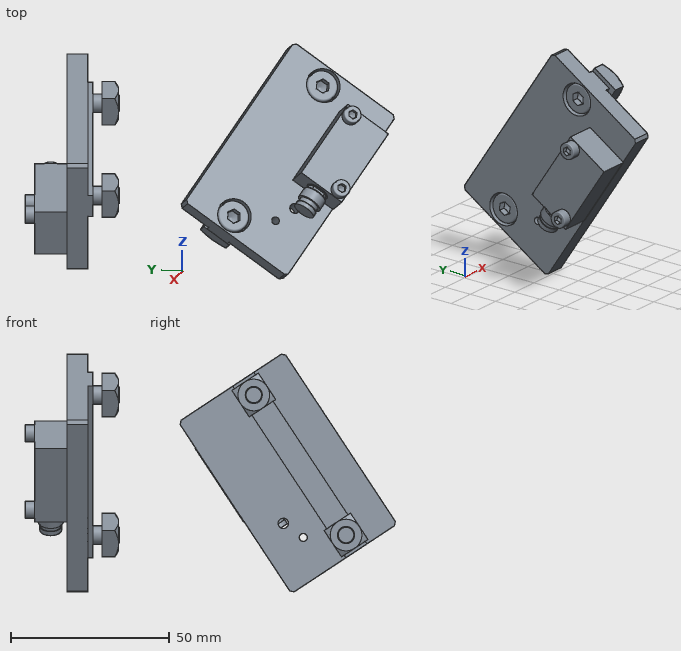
import cadquery as cq
import math

TILT = 33.38

PLATE_LENGTH = 65.0
PLATE_WIDTH = 40.0
PLATE_THICKNESS = 6.6
PLATE_CHAMFER = 1.0
KEY_WIDTH = 8.0
KEY_HEIGHT = 1.6
KEY_Y = 4.6

SOCKET_CONE_ANGLE = 30.0

CLAMP_SCREW_PITCH = 53.0
CLAMP_DIAMETER = 6.0
CLAMP_LENGTH = 12.0
CLAMP_END_CHAMFER = 0.55
CLAMP_HEAD_DIAMETER = 10.0
CLAMP_HEAD_HEIGHT = 4.0
CLAMP_HEAD_FILLET = 0.6
CLAMP_HEAD_RECESS = 0.6
CLAMP_KEY_SIZE = 4.0
CLAMP_SOCKET_DEPTH = 2.3
COUNTERBORE_DIAMETER = 11.0
NUT_SIDE = 10.0
NUT_THICKNESS = 5.3
NUT_CHAMFER_ANGLE = 30.0
SCREW_PROTRUSION = 0.25

TAPPED_HOLE_DIAMETER = 2.46
TAPPED_HOLE_Z = -19.7
CLEAR_HOLE_DIAMETER = 3.24
CLEAR_HOLE_Y = -9.94
CLEAR_HOLE_Z = -12.5

BLOCK_LENGTH = 27.8
BLOCK_WIDTH = 15.9
BLOCK_DEPTH = 10.2
BLOCK_BOTTOM = -5.25
BLOCK_OVERHANG = 0.2
CAP_INSET = 2.8
CAP_HEAD_DIAMETER = 5.5
CAP_HEAD_HEIGHT = 3.0
CAP_HEAD_FILLET = 0.3
CAP_KEY_SIZE = 2.5
CAP_SOCKET_DEPTH = 1.3
BUTTON_DIAMETER = 7.0
BUTTON_DEPTH = 1.0
BUTTON_Z = 14.9

FLANGE_DIAMETER = 7.5
FLANGE_LENGTH = 0.25
NECK_DIAMETER = 6.5
NECK_END = 1.35
NECK_FLAT_WIDTH = 4.0
BARREL_DIAMETER = 8.0
BARREL_CHAMFER = 0.3
BARREL_END = 4.95
TIP_DIAMETER = 7.0
TIP_START = 6.5
CONNECTOR_LENGTH = 8.05
CONNECTOR_Y = -12.35

PLATE_EDGE = -PLATE_WIDTH / 2
KEY_FACE = PLATE_THICKNESS + KEY_HEIGHT
BLOCK_OUTER_SIDE = PLATE_EDGE - BLOCK_OVERHANG
BLOCK_INNER_SIDE = BLOCK_OUTER_SIDE + BLOCK_WIDTH
BLOCK_TOP = BLOCK_BOTTOM + BLOCK_LENGTH
CAP_CENTRES = [
    (BLOCK_INNER_SIDE - CAP_INSET, BLOCK_TOP - CAP_INSET),
    (BLOCK_OUTER_SIDE + CAP_INSET, BLOCK_BOTTOM + CAP_INSET),
]
CLAMP_CENTRES = [(KEY_Y, side * CLAMP_SCREW_PITCH / 2) for side in (1, -1)]
CLAMP_HEAD_SEAT = CLAMP_HEAD_RECESS + CLAMP_HEAD_HEIGHT
CLAMP_END = CLAMP_HEAD_SEAT + CLAMP_LENGTH


def box_between(x_range, y_range, z_range):
    """Box spanning the given (low, high) ranges."""
    low, high = zip(x_range, y_range, z_range)
    size = [b - a for a, b in zip(low, high)]
    return cq.Workplane("XY").box(*size, centered=False).translate(low)


def cylinder_along_x(x_start, x_end, diameter, centre=(0, 0)):
    """Cylinder parallel to X at the (Y, Z) centre."""
    return cq.Workplane("YZ", origin=(x_start, *centre)).circle(diameter / 2).extrude(x_end - x_start)


def hex_socket(key_size, depth):
    """Hexagonal recess opening at X = 0 with a conical drill-point bottom."""
    corner_radius = key_size / math.sqrt(3)
    tip = depth + corner_radius * math.tan(math.radians(SOCKET_CONE_ANGLE))
    hexagon = cq.Workplane("YZ").polygon(6, 2 * corner_radius).extrude(tip)
    drilling = (
        cq.Workplane("XY")
        .polyline([(0, 0), (0, corner_radius), (depth, corner_radius), (tip, 0)])
        .close()
        .revolve(360, (0, 0, 0), (1, 0, 0))
    )
    return hexagon.intersect(drilling)


def screw_head(diameter, height, fillet, key_size, socket_depth):
    """Socket head with its outer face at X = 0."""
    head = cylinder_along_x(0, height, diameter).faces("<X").edges().fillet(fillet)
    return head.cut(hex_socket(key_size, socket_depth))


def make_plate():
    half_width = PLATE_WIDTH / 2
    half_length = PLATE_LENGTH / 2
    plate = box_between((0, PLATE_THICKNESS), (-half_width, half_width), (-half_length, half_length))
    plate = plate.edges("|X").chamfer(PLATE_CHAMFER)
    key_sides = (KEY_Y - KEY_WIDTH / 2, KEY_Y + KEY_WIDTH / 2)
    plate = plate.union(box_between((PLATE_THICKNESS, KEY_FACE), key_sides, (-half_length, half_length)))
    for centre in CLAMP_CENTRES:
        plate = plate.cut(cylinder_along_x(0, CLAMP_HEAD_SEAT, COUNTERBORE_DIAMETER, centre))
    tapped_centre = (CAP_CENTRES[0][0], TAPPED_HOLE_Z)
    plate = plate.cut(cylinder_along_x(0, PLATE_THICKNESS, TAPPED_HOLE_DIAMETER, tapped_centre))
    clear_centre = (CLEAR_HOLE_Y, CLEAR_HOLE_Z)
    return plate.cut(cylinder_along_x(0, PLATE_THICKNESS, CLEAR_HOLE_DIAMETER, clear_centre))


def make_nut():
    """Square nut whose outer face is crowned by a conical chamfer."""
    outer = CLAMP_END - SCREW_PROTRUSION
    inner = outer - NUT_THICKNESS
    flat_radius = NUT_SIDE / 2
    rim_radius = NUT_SIDE / math.sqrt(2)
    rim_drop = (rim_radius - flat_radius) * math.tan(math.radians(NUT_CHAMFER_ANGLE))
    square = cq.Workplane("YZ", origin=(inner, 0, 0)).rect(NUT_SIDE, NUT_SIDE).extrude(NUT_THICKNESS)
    profile = [
        (inner, 0),
        (inner, rim_radius),
        (outer - rim_drop, rim_radius),
        (outer, flat_radius),
        (outer, 0),
    ]
    crown = cq.Workplane("XY").polyline(profile).close().revolve(360, (0, 0, 0), (1, 0, 0))
    return square.intersect(crown)


def make_clamp_screw():
    """Low-head screw and square nut on the X axis."""
    head = screw_head(
        CLAMP_HEAD_DIAMETER, CLAMP_HEAD_HEIGHT, CLAMP_HEAD_FILLET, CLAMP_KEY_SIZE, CLAMP_SOCKET_DEPTH
    ).translate((CLAMP_HEAD_RECESS, 0, 0))
    shank = cylinder_along_x(CLAMP_HEAD_SEAT, CLAMP_END, CLAMP_DIAMETER)
    shank = shank.faces(">X").edges().chamfer(CLAMP_END_CHAMFER)
    return head.union(shank).union(make_nut())


def make_block():
    block = box_between((-BLOCK_DEPTH, 0), (BLOCK_OUTER_SIDE, BLOCK_INNER_SIDE), (BLOCK_BOTTOM, BLOCK_TOP))
    head = screw_head(CAP_HEAD_DIAMETER, CAP_HEAD_HEIGHT, CAP_HEAD_FILLET, CAP_KEY_SIZE, CAP_SOCKET_DEPTH)
    for y, z in CAP_CENTRES:
        block = block.union(head.translate((-BLOCK_DEPTH - CAP_HEAD_HEIGHT, y, z)))
    return block


def make_button():
    """Round button set flush into the outer side of the block."""
    seat = cq.Workplane("XZ", origin=(-BLOCK_DEPTH / 2, BLOCK_OUTER_SIDE, BUTTON_Z))
    return seat.circle(BUTTON_DIAMETER / 2).extrude(-BUTTON_DEPTH)


def make_connector():
    """Turned connector hanging from the block's lower end, with two wrench flats on its neck."""
    profile = [
        (0, 0),
        (FLANGE_DIAMETER / 2, 0),
        (FLANGE_DIAMETER / 2, -FLANGE_LENGTH),
        (NECK_DIAMETER / 2, -FLANGE_LENGTH),
        (NECK_DIAMETER / 2, -NECK_END),
        (BARREL_DIAMETER / 2 - BARREL_CHAMFER, -NECK_END),
        (BARREL_DIAMETER / 2, -NECK_END - BARREL_CHAMFER),
        (BARREL_DIAMETER / 2, -BARREL_END),
        (NECK_DIAMETER / 2, -BARREL_END),
        (NECK_DIAMETER / 2, -TIP_START),
        (TIP_DIAMETER / 2, -TIP_START),
        (TIP_DIAMETER / 2, -CONNECTOR_LENGTH),
        (0, -CONNECTOR_LENGTH),
    ]
    body = cq.Workplane("XZ").polyline(profile).close().revolve(360, (0, 0, 0), (0, 1, 0))
    flat_distance = math.sqrt(NECK_DIAMETER**2 - NECK_FLAT_WIDTH**2) / 2
    outside = NECK_DIAMETER
    for x_range in ((-outside, -flat_distance), (flat_distance, outside)):
        body = body.cut(box_between(x_range, (-outside, outside), (-NECK_END, -FLANGE_LENGTH)))
    return body.translate((-BLOCK_DEPTH / 2, CONNECTOR_Y, BLOCK_BOTTOM))


assembly = make_plate().union(make_block()).union(make_connector())
for y, z in CLAMP_CENTRES:
    assembly = assembly.union(make_clamp_screw().translate((0, y, z)))

button = make_button()
assembly = assembly.cut(button, clean=False).union(button, clean=False)

result = assembly.rotate((0, 0, 0), (1, 0, 0), TILT)